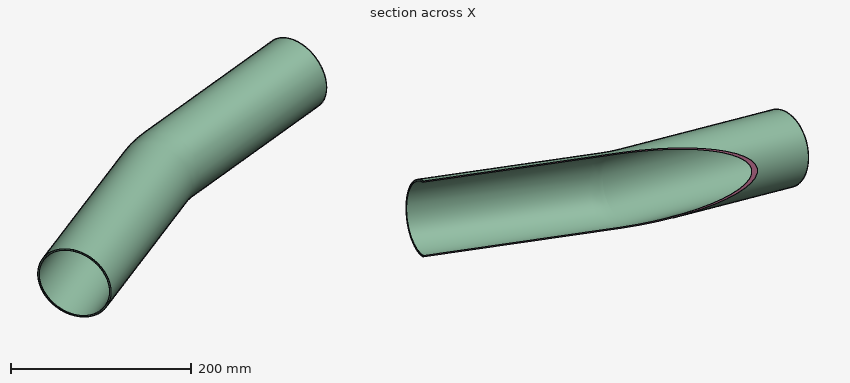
import cadquery as cq
import math

overall_length = 483.5
outer_diameter = 89.0
inner_diameter = 85.0
bend_radius = 106.5
bend_degrees = 15.0

bend_angle = math.radians(bend_degrees)
outer_radius = outer_diameter / 2

bend_span = bend_radius * math.sin(bend_angle)
end_face_span = outer_radius * math.sin(bend_angle)
leg_length = (overall_length - bend_span - end_face_span) / (1 + math.cos(bend_angle))


def bend_point(angle):
    """Centreline point after turning by angle, with the bend starting at the origin."""
    return (bend_radius * (1 - math.cos(angle)), -bend_radius * math.sin(angle))


bend_end = bend_point(bend_angle)
leg_end = (
    bend_end[0] + leg_length * math.sin(bend_angle),
    bend_end[1] - leg_length * math.cos(bend_angle),
)
centreline = (
    cq.Workplane("XY")
    .moveTo(0, leg_length)
    .lineTo(0, 0)
    .threePointArc(bend_point(bend_angle / 2), bend_end)
    .lineTo(*leg_end)
)

result = (
    cq.Workplane("XZ", origin=(0, leg_length, 0))
    .circle(outer_radius)
    .circle(inner_diameter / 2)
    .sweep(centreline)
)